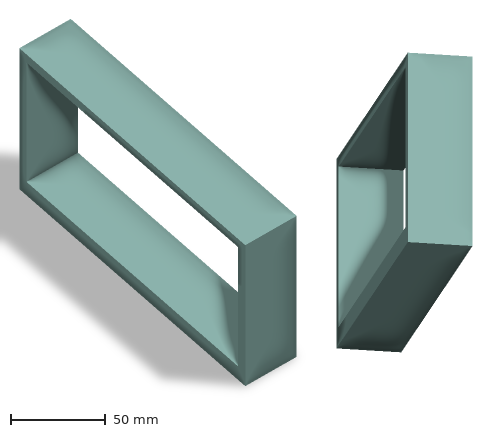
import cadquery as cq

length = 190.0
depth = 35.0
height = 105.0

wall = 6.0
bottom_wall = 10.0

opening_length = length - 2 * wall
opening_height = height - wall - bottom_wall
opening_center_z = (bottom_wall - wall) / 2

frame = cq.Workplane("XY").box(length, depth, height)
opening = (
    cq.Workplane("XY")
    .box(opening_length, depth, opening_height)
    .translate((0, 0, opening_center_z))
)

result = frame.cut(opening)